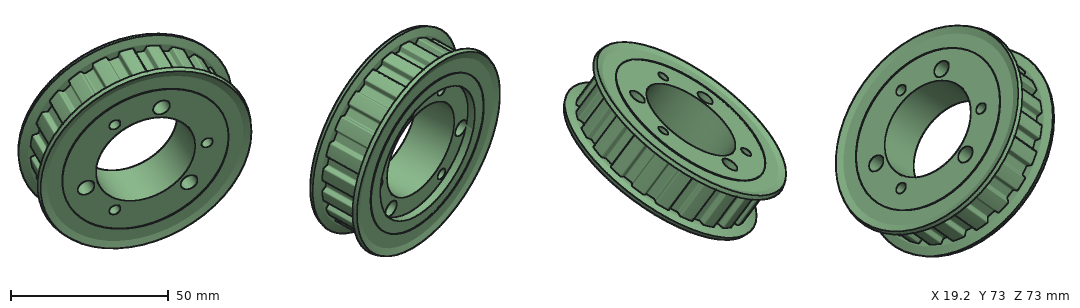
import cadquery as cq
import math

WIDTH = 19.2
OUTER_DIAMETER = 73.0
HALF_WIDTH = WIDTH / 2
OUTER_RADIUS = OUTER_DIAMETER / 2

RIM_WIDTH = 14.7
HALF_RIM_WIDTH = RIM_WIDTH / 2
TOOTH_COUNT = 22
TOOTH_PITCH_ANGLE = 360 / TOOTH_COUNT
TOOTH_TIP_RADIUS = 32.9
GROOVE_DEPTH = 2.0
GROOVE_FLOOR_WIDTH = 3.15
FLANK_ANGLE = 20.0
TOOTH_ROUNDING = 0.5

FLANGE_THICKNESS = 1.5
INSIDE_BEND_RADIUS = 33.6
OUTSIDE_BEND_RADIUS = 33.5
LIP_DIAMETER = 72.1
LIP_RADIUS = LIP_DIAMETER / 2
LIP_WIDTH = 1.45

HUB_RADIUS = 28.4
HUB_WIDTH = 18.4
HALF_HUB_WIDTH = HUB_WIDTH / 2
BORE_RADIUS = 16.95
RECESS_RADIUS = 23.8
RECESS_DEPTH = 2.85

BOLT_CIRCLE_RADIUS = 21.0
HOLES_PER_SET = 3
SMALL_HOLE_RADIUS = 1.9
SMALL_HOLE_START_ANGLE = 0.0
LARGE_HOLE_RADIUS = 2.85
LARGE_HOLE_START_ANGLE = 75.0


def cylinder(radius, length):
    """Solid cylinder on the X axis, centred on the middle plane."""
    return cq.Workplane("YZ", origin=(-length / 2, 0, 0)).circle(radius).extrude(length)


def make_flange():
    """Dished disc on the -X side, with the hub opening in its middle."""
    inner_face_x = -HALF_RIM_WIDTH
    outer_face_x = inner_face_x - FLANGE_THICKNESS
    return (
        cq.Workplane("XY")
        .moveTo(inner_face_x, HUB_RADIUS)
        .lineTo(inner_face_x, INSIDE_BEND_RADIUS)
        .lineTo(LIP_WIDTH - HALF_WIDTH, OUTER_RADIUS)
        .lineTo(-HALF_WIDTH, LIP_RADIUS)
        .lineTo(outer_face_x, OUTSIDE_BEND_RADIUS)
        .lineTo(outer_face_x, HUB_RADIUS)
        .close()
        .revolve(360, (0, 0, 0), (1, 0, 0))
    )


def make_groove():
    """Cutter for the belt groove that points along +Y, open past the tooth tips."""
    floor_radius = TOOTH_TIP_RADIUS - GROOVE_DEPTH
    cutter_height = 2 * GROOVE_DEPTH
    half_floor = GROOVE_FLOOR_WIDTH / 2
    half_top = half_floor + cutter_height * math.tan(math.radians(FLANK_ANGLE))
    return (
        cq.Workplane("YZ", origin=(-HALF_RIM_WIDTH, 0, 0))
        .moveTo(floor_radius, -half_floor)
        .lineTo(floor_radius, half_floor)
        .lineTo(floor_radius + cutter_height, half_top)
        .lineTo(floor_radius + cutter_height, -half_top)
        .close()
        .extrude(RIM_WIDTH)
    )


def make_toothed_disc():
    """Disc with belt teeth, rounded at the tooth tips and the groove corners."""
    disc = cylinder(TOOTH_TIP_RADIUS, RIM_WIDTH)
    groove = make_groove()
    for i in range(TOOTH_COUNT):
        disc = disc.cut(groove.rotate((0, 0, 0), (1, 0, 0), i * TOOTH_PITCH_ANGLE))
    return disc.edges("|X").fillet(TOOTH_ROUNDING)


def hole_set(radius, start_angle):
    """Cutters for one set of equally spaced holes along X."""
    return (
        cq.Workplane("YZ", origin=(-HALF_HUB_WIDTH, 0, 0))
        .polarArray(BOLT_CIRCLE_RADIUS, start_angle, 360, HOLES_PER_SET)
        .circle(radius)
        .extrude(HUB_WIDTH)
    )


def make_pulley():
    """Toothed hub with its fixed flange, a recess in the -X face, a bore and bolt holes."""
    fixed_flange = make_flange().mirror("YZ")
    recess = (
        cq.Workplane("YZ", origin=(-HALF_HUB_WIDTH, 0, 0))
        .circle(RECESS_RADIUS)
        .extrude(RECESS_DEPTH)
    )
    return (
        cylinder(HUB_RADIUS, HUB_WIDTH)
        .union(make_toothed_disc())
        .union(fixed_flange)
        .cut(cylinder(BORE_RADIUS, HUB_WIDTH))
        .cut(recess)
        .cut(hole_set(SMALL_HOLE_RADIUS, SMALL_HOLE_START_ANGLE))
        .cut(hole_set(LARGE_HOLE_RADIUS, LARGE_HOLE_START_ANGLE))
    )


loose_flange = make_flange()
pulley = make_pulley()
result = cq.Compound.makeCompound([pulley.val(), loose_flange.val()])